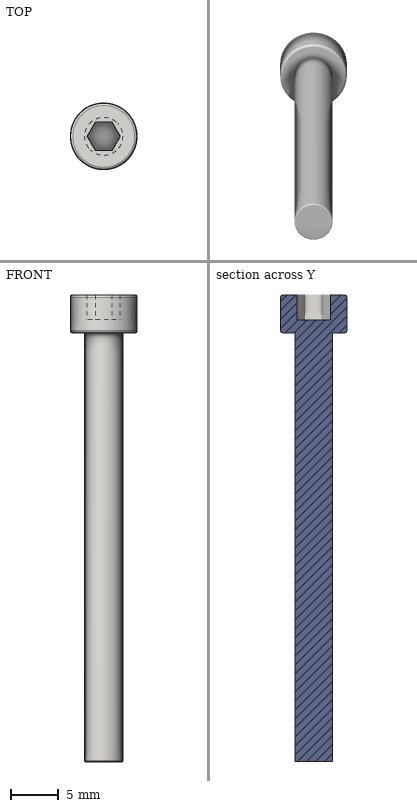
import cadquery as cq
import math

thread_diameter = 4.0
shank_length = 45.0
head_diameter = 7.0
head_height = thread_diameter
head_edge_radius = 0.25
tip_edge_radius = 0.12
socket_across_flats = 3.0
socket_depth = 2.6
socket_sides = 6


def make_head():
    head = cq.Workplane("XY").circle(head_diameter / 2).extrude(head_height)
    return head.faces(">Z or <Z").edges().fillet(head_edge_radius)


def make_shank():
    shank = cq.Workplane("XY").circle(thread_diameter / 2).extrude(-shank_length)
    return shank.faces("<Z").edges().fillet(tip_edge_radius)


def make_socket():
    across_corners = socket_across_flats / math.cos(math.pi / socket_sides)
    return (
        cq.Workplane("XY")
        .workplane(offset=head_height)
        .polygon(socket_sides, across_corners)
        .extrude(-socket_depth)
    )


result = make_head().union(make_shank()).cut(make_socket())